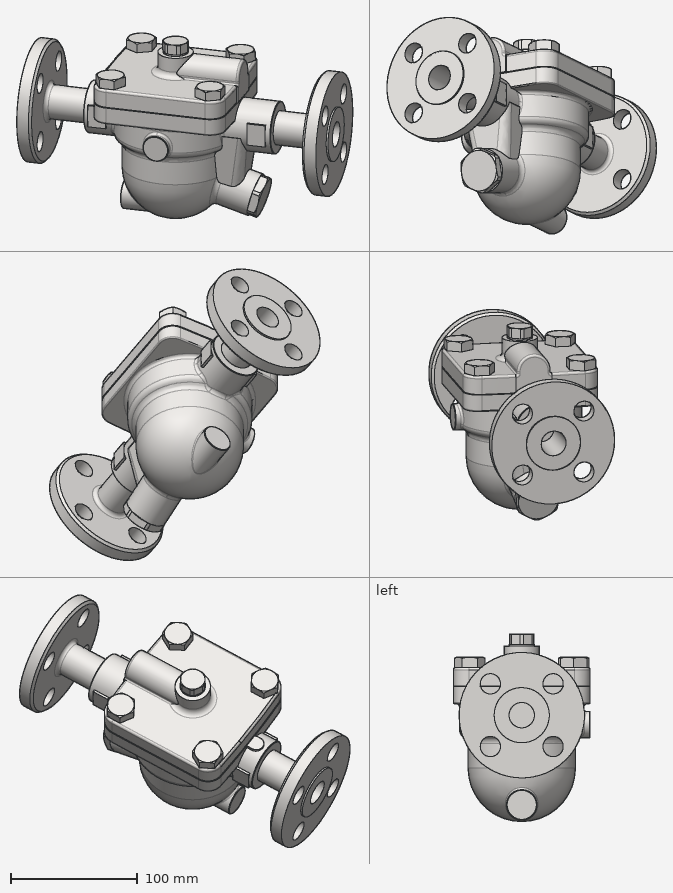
import cadquery as cq
import math

overall_length = 250.0
body_x = -7.5

flange_d = 99.0
flange_thickness = 11.8
flange_bevel = 2.0
raised_face_d = 43.5
raised_face_height = 1.5
flange_hole_d = 16.0
flange_hole_offset = 24.8
pipe_d = 27.2
pipe_weld_fillet = 3.2
bore_d = 20.0
hub_d = 42.0
hub_end_x = 77.2
hub_chamfer = 0.5
hub_fillet = 3.0
wrench_pad_length = 15.0
wrench_pad_height = 18.0
wrench_pad_x = {-1: -66.2, 1: 65.2}

upper_r = 49.0
lower_r = 42.5
sphere_z = -41.5
step_top_z = -12.0
step_bottom_z = -22.5
neck_fillet = 3.0

cover_bottom_z = 9.0
cover_split_z = 23.0
gasket_thickness = 0.5
gasket_inset = 0.5
gasket_bottom_z = cover_split_z - gasket_thickness
cover_top_z = 37.8
cover_half_x = 55.0
cover_half_y = 54.0
cover_corner_r = 13.0
cover_top_round = 2.0
cover_bottom_round = 1.0
bolt_offset = cover_half_y - cover_corner_r

bolt_across_flats = 21.0
bolt_across_corners = bolt_across_flats / math.cos(math.pi / 6)
bolt_head_height = 8.0
head_chamfer_angle = 30

top_boss_d = 28.0
top_boss_z = 54.5
top_boss_fillet = 5.0
top_plug_washer_d = 20.0
top_plug_washer_height = 1.2
top_plug_across_flats = 19.2
top_plug_clip_d = 20.8
top_plug_z = 64.0

passage_r = 13.2
passage_axis_z = 40.5
passage_end_x = 48.5
passage_end_round = 2.0
passage_foot_fillet = 1.2

side_boss_d = 21.0
side_boss_z = -7.5
side_boss_chamfer = 0.5
side_boss_fillet = 2.0

drain_d = 24.0
drain_z = -70.8
drain_end_x = -49.5
drain_chamfer = 0.5
drain_fillet = 1.2

port_d = 35.0
port_tilt = 15
port_length = 68.2
port_fillet = 5.0
cap_thickness = 7.0
cap_across_flats = 32.0
cap_clip_d = 35.5

bridge_inner_x = 20.0
bridge_top_z = -4.2
bridge_bottom_z = -50.0

pad_r = 6.0
pad_tip_x = -73.5
pad_top_z = 22.5


def cylinder(start, direction, diameter, length):
    """Cylinder from a start point along a direction."""
    return cq.Workplane(
        obj=cq.Solid.makeCylinder(diameter / 2, length, cq.Vector(*start), cq.Vector(*direction))
    )


def blend(base, branch, radius):
    """Join two solids and round the seam where their surfaces meet."""
    joined = base.union(branch)
    shells = [base.val().Shells()[0], branch.val().Shells()[0]]

    def is_seam(edge):
        middle = cq.Vertex.makeVertex(*edge.positionAt(0.5).toTuple())
        return all(middle.distance(shell) < 0.002 for shell in shells)

    seam = [edge for edge in joined.edges().vals() if is_seam(edge)]
    return joined.newObject(seam).fillet(radius)


def hex_head(across_flats, clip_d, height):
    """Hexagon with two corners on X, clipped to a circle and chamfered down to its flats."""
    inner_r = across_flats / 2
    clip_r = clip_d / 2
    drop = (clip_r - inner_r) * math.tan(math.radians(head_chamfer_angle))
    envelope = (
        cq.Workplane("XZ")
        .moveTo(0, 0)
        .lineTo(clip_r, 0)
        .lineTo(clip_r, height - drop)
        .lineTo(inner_r, height)
        .lineTo(0, height)
        .close()
        .revolve(360, (0, 0), (0, 1))
    )
    across_corners = across_flats / math.cos(math.pi / 6)
    return cq.Workplane("XY").polygon(6, across_corners).extrude(height).intersect(envelope)


def cover_plate(bottom_z, top_z, inset=0):
    """Plate with bowed sides, straight ends and corners centred on the bolts."""
    half_x = cover_half_x - inset
    half_y = cover_half_y - inset
    corner_r = cover_corner_r - inset
    reach = half_x - bolt_offset
    side_r = (reach**2 + bolt_offset**2 - corner_r**2) / (2 * (reach - corner_r))
    side_centre_x = half_x - side_r
    slope = math.atan2(bolt_offset, bolt_offset - side_centre_x)
    tangent_x = bolt_offset + corner_r * math.cos(slope)
    tangent_y = bolt_offset + corner_r * math.sin(slope)
    middle = (slope + math.pi / 2) / 2
    corner_x = bolt_offset + corner_r * math.cos(middle)
    corner_y = bolt_offset + corner_r * math.sin(middle)
    return (
        cq.Workplane("XY", origin=(body_x, 0, bottom_z))
        .moveTo(-bolt_offset, half_y)
        .lineTo(bolt_offset, half_y)
        .threePointArc((corner_x, corner_y), (tangent_x, tangent_y))
        .threePointArc((half_x, 0), (tangent_x, -tangent_y))
        .threePointArc((corner_x, -corner_y), (bolt_offset, -half_y))
        .lineTo(-bolt_offset, -half_y)
        .threePointArc((-corner_x, -corner_y), (-tangent_x, -tangent_y))
        .threePointArc((-half_x, 0), (-tangent_x, tangent_y))
        .threePointArc((-corner_x, corner_y), (-bolt_offset, half_y))
        .close()
        .extrude(top_z - bottom_z)
    )


def bowl():
    """Round body: wide neck, S-shaped step, narrower bowl and spherical bottom."""
    step_r = (upper_r + lower_r) / 2
    step_z = (step_top_z + step_bottom_z) / 2
    step_angle = 2 * math.atan2(upper_r - lower_r, step_top_z - step_bottom_z)
    arc_r = (step_top_z - step_bottom_z) / 2 / math.sin(step_angle)
    sag = arc_r * (1 - math.cos(step_angle / 2))
    rise = arc_r * math.sin(step_angle / 2)
    diagonal = lower_r * math.sqrt(0.5)
    return (
        cq.Workplane("XZ", origin=(body_x, 0, 0))
        .moveTo(0, gasket_bottom_z)
        .lineTo(upper_r, gasket_bottom_z)
        .lineTo(upper_r, step_top_z)
        .threePointArc((upper_r - sag, step_top_z - rise), (step_r, step_z))
        .threePointArc((lower_r + sag, step_bottom_z + rise), (lower_r, step_bottom_z))
        .lineTo(lower_r, sphere_z)
        .threePointArc((diagonal, sphere_z - diagonal), (0, sphere_z - lower_r))
        .close()
        .revolve(360, (0, 0), (0, 1))
    )


def body_flange():
    """Plate on top of the bowl with a rounded collar where the bowl wall meets it."""
    collar_corner = neck_fillet * (1 - math.sqrt(0.5))
    collar = (
        cq.Workplane("XZ", origin=(body_x, 0, 0))
        .moveTo(0, cover_bottom_z - neck_fillet)
        .lineTo(upper_r, cover_bottom_z - neck_fillet)
        .threePointArc(
            (upper_r + collar_corner, cover_bottom_z - collar_corner),
            (upper_r + neck_fillet, cover_bottom_z),
        )
        .lineTo(0, cover_bottom_z)
        .close()
        .revolve(360, (0, 0), (0, 1))
    )
    plate = cover_plate(cover_bottom_z, gasket_bottom_z)
    return plate.faces("<Z").edges().fillet(cover_bottom_round).union(collar)


def port_and_cap():
    """Tilted port from the sphere centre and the clipped hexagon cap that closes it."""
    tilt = math.radians(port_tilt)
    centre = (body_x, 0, sphere_z)
    axis = (math.cos(tilt), 0, -math.sin(tilt))
    port = cylinder(centre, axis, port_d, port_length)
    cap_plane = cq.Plane(
        origin=tuple(c + a * port_length for c, a in zip(centre, axis)),
        xDir=(math.sin(tilt), 0, math.cos(tilt)),
        normal=axis,
    )
    cap = hex_head(cap_across_flats, cap_clip_d, cap_thickness)
    return port, cap.newObject([cap.val().located(cq.Location(cap_plane))])


def drain():
    boss = cylinder((drain_end_x, 0, drain_z), (1, 0, 0), drain_d, body_x - drain_end_x)
    return boss.faces("<X").chamfer(drain_chamfer)


def side_boss():
    boss = cylinder((body_x, -cover_half_y, side_boss_z), (0, 1, 0), side_boss_d, cover_half_y)
    return boss.faces("<Y").chamfer(side_boss_chamfer)


def bridge_section(z, outer_x, half_width, corner_r):
    """Wire of a D-like section whose outer corners are rounded."""
    arc_offset = corner_r * math.sqrt(0.5)
    flat_x = outer_x - corner_r
    flat_y = half_width - corner_r
    return (
        cq.Workplane("XY", origin=(0, 0, z))
        .moveTo(bridge_inner_x, -half_width)
        .lineTo(flat_x, -half_width)
        .threePointArc((flat_x + arc_offset, -flat_y - arc_offset), (outer_x, -flat_y))
        .lineTo(outer_x, flat_y)
        .threePointArc((flat_x + arc_offset, flat_y + arc_offset), (flat_x, half_width))
        .lineTo(bridge_inner_x, half_width)
        .close()
        .val()
    )


def bridge():
    upper = bridge_section(bridge_top_z, outer_x=56.2, half_width=21.0, corner_r=6.0)
    lower = bridge_section(bridge_bottom_z, outer_x=51.2, half_width=15.8, corner_r=8.2)
    return cq.Workplane(obj=cq.Solid.makeLoft([upper, lower], True))


def pipe_arm(side):
    """Hub, pipe and flange on one side of the body; side is -1 or 1."""
    flange_face_x = overall_length / 2 - raised_face_height
    flange_back_x = flange_face_x - flange_thickness
    hub_r = hub_d / 2
    pipe_r = pipe_d / 2
    flange_r = flange_d / 2
    corner = pipe_weld_fillet * (1 - math.sqrt(0.5))
    arm = (
        cq.Workplane("XY")
        .moveTo(side * body_x, 0)
        .lineTo(side * body_x, hub_r)
        .lineTo(hub_end_x - hub_chamfer, hub_r)
        .lineTo(hub_end_x, hub_r - hub_chamfer)
        .lineTo(hub_end_x, pipe_r)
        .lineTo(flange_back_x - pipe_weld_fillet, pipe_r)
        .threePointArc(
            (flange_back_x - corner, pipe_r + corner),
            (flange_back_x, pipe_r + pipe_weld_fillet),
        )
        .lineTo(flange_back_x, flange_r - flange_bevel)
        .lineTo(flange_back_x + flange_bevel, flange_r)
        .lineTo(flange_face_x, flange_r)
        .lineTo(flange_face_x, raised_face_d / 2)
        .lineTo(overall_length / 2, raised_face_d / 2)
        .lineTo(overall_length / 2, 0)
        .close()
        .revolve(360, (0, 0), (1, 0))
    )
    bore = cylinder((hub_end_x, 0, 0), (1, 0, 0), bore_d, overall_length / 2 - hub_end_x)
    hole_pitch = 2 * flange_hole_offset
    holes = (
        cq.Workplane("YZ", origin=(flange_back_x, 0, 0))
        .rect(hole_pitch, hole_pitch, forConstruction=True)
        .vertices()
        .circle(flange_hole_d / 2)
        .extrude(flange_thickness)
    )
    arm = arm.cut(bore).cut(holes)
    return arm.mirror("YZ") if side < 0 else arm


def wrench_pads(side):
    """Flat pads on both flanks of a hub, level with its widest point."""
    pad = cq.Workplane("XY").box(wrench_pad_length, hub_d, wrench_pad_height)
    return pad.translate((wrench_pad_x[side], 0, 0))


def locating_pad():
    """Round-nosed pad on top of the inlet hub, running into the body flange."""
    nose_x = pad_tip_x + pad_r
    run = body_x - nose_x
    bar = cq.Workplane("XY").center(nose_x + run / 2, 0).rect(run, 2 * pad_r).extrude(pad_top_z)
    return bar.union(cq.Workplane("XY").center(nose_x, 0).circle(pad_r).extrude(pad_top_z))


def air_passage():
    """Arched passage across the cover, ending just past the cover edge."""
    length = passage_end_x - body_x
    foot_half = passage_r + passage_foot_fillet
    foot_corner = passage_foot_fillet * (1 - math.sqrt(0.5))
    foot_top_z = cover_top_z + passage_foot_fillet
    passage = (
        cq.Workplane("YZ", origin=(body_x, 0, 0))
        .moveTo(-foot_half, cover_split_z)
        .lineTo(-foot_half, cover_top_z)
        .threePointArc((-passage_r - foot_corner, cover_top_z + foot_corner), (-passage_r, foot_top_z))
        .lineTo(-passage_r, passage_axis_z)
        .threePointArc((0, passage_axis_z + passage_r), (passage_r, passage_axis_z))
        .lineTo(passage_r, foot_top_z)
        .threePointArc((passage_r + foot_corner, cover_top_z + foot_corner), (foot_half, cover_top_z))
        .lineTo(foot_half, cover_split_z)
        .close()
        .extrude(length)
    )
    crown = cq.selectors.BoxSelector(
        (passage_end_x - 0.2, -foot_half, foot_top_z), (passage_end_x + 0.2, foot_half, top_boss_z)
    )
    return passage.edges(crown).fillet(passage_end_round)


def cover():
    plate = cover_plate(cover_split_z, cover_top_z).faces(">Z").edges().fillet(cover_top_round)
    boss = cylinder((body_x, 0, cover_split_z), (0, 0, 1), top_boss_d, top_boss_z - cover_split_z)
    return blend(plate, boss, top_boss_fillet).union(air_passage())


def top_plug():
    washer = cylinder((body_x, 0, top_boss_z), (0, 0, 1), top_plug_washer_d, top_plug_washer_height)
    hex_z = top_boss_z + top_plug_washer_height
    head = hex_head(top_plug_across_flats, top_plug_clip_d, top_plug_z - hex_z)
    return washer.union(head.translate((body_x, 0, hex_z)))


port, cap = port_and_cap()
body = blend(bowl(), side_boss(), side_boss_fillet)
body = blend(body, port, port_fillet)
body = blend(body, drain(), drain_fillet)
for arm_side in (-1, 1):
    body = blend(body, pipe_arm(arm_side), hub_fillet).union(wrench_pads(arm_side))
body = body.union(cap).union(bridge())
gasket = cover_plate(gasket_bottom_z, cover_split_z, gasket_inset)
body = body.union(body_flange())
body = body.union(locating_pad())

result = body.union(gasket).union(cover()).union(top_plug())
bolt_head = hex_head(bolt_across_flats, bolt_across_corners, bolt_head_height)
for x_side in (-1, 1):
    for y_side in (-1, 1):
        turn = 0 if x_side == y_side else 90
        place = (body_x + x_side * bolt_offset, y_side * bolt_offset, cover_top_z)
        result = result.union(bolt_head.rotate((0, 0, 0), (0, 0, 1), turn).translate(place))